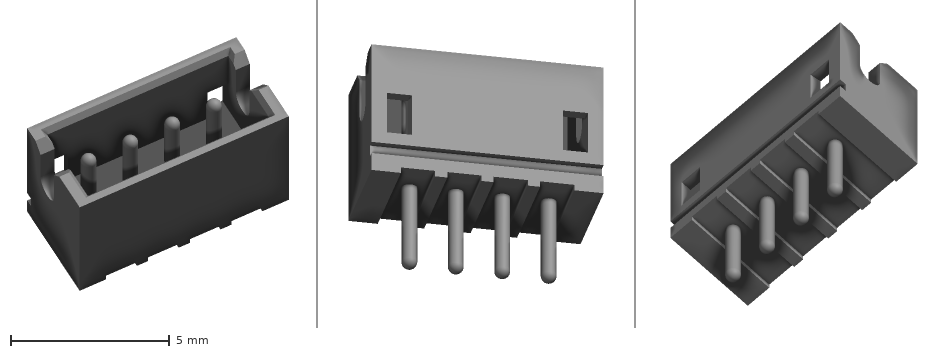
import cadquery as cq

HOUSING_WIDTH = 3.5
HOUSING_LENGTH = 7.5
HOUSING_HEIGHT = 4.5

SIDE_WALL = 0.4
END_WALL = 0.5
UPPER_FLOOR = 1.4
FLOOR_DROP = 0.3
STEP_START = 1.8
STEP_RUN = 0.2
LEAD_IN_WIDTH = 0.15
LEAD_IN_DEPTH = 0.195

NOTCH_CENTER = 1.35
NOTCH_RADIUS = 0.45
NOTCH_BOTTOM = 2.5
NOTCH_BEVEL = 0.345

GROOVE_DEPTH = 0.255
GROOVE_BOTTOM = 0.61
GROOVE_HEIGHT = 0.4

WINDOW_LENGTH = 0.81
WINDOW_HEIGHT = 1.41
WINDOW_TAPER = 0.06

PIN_COUNT = 4
PIN_PITCH = 1.5
PIN_X = 1.3
PIN_DIAMETER = 0.5
PIN_RADIUS = PIN_DIAMETER / 2
PIN_BOTTOM = -2.7
PIN_TOP = 3.6
SLOT_WIDTH = 1.1
SLOT_DEPTH = 0.195

CAVITY_LENGTH = HOUSING_LENGTH - 2 * END_WALL
PIN_POSITIONS = [(i - (PIN_COUNT - 1) / 2) * PIN_PITCH for i in range(PIN_COUNT)]


def box(x, y_center, z, width, length, height):
    """Box from its left face, Y centre and underside."""
    return cq.Workplane("XY").box(width, length, height, (False, True, False)).translate((x, y_center, z))


def cavity():
    right = HOUSING_WIDTH - SIDE_WALL
    lower_floor = UPPER_FLOOR - FLOOR_DROP
    return (
        cq.Workplane("XZ")
        .moveTo(SIDE_WALL, HOUSING_HEIGHT)
        .lineTo(SIDE_WALL, UPPER_FLOOR)
        .lineTo(STEP_START, UPPER_FLOOR)
        .lineTo(STEP_START + STEP_RUN, lower_floor)
        .lineTo(right, lower_floor)
        .lineTo(right, HOUSING_HEIGHT)
        .close()
        .extrude(CAVITY_LENGTH / 2, both=True)
    )


def lead_in():
    inner_width = HOUSING_WIDTH - 2 * SIDE_WALL
    return (
        cq.Workplane("XY", origin=(HOUSING_WIDTH / 2, 0, HOUSING_HEIGHT))
        .rect(inner_width + 2 * LEAD_IN_WIDTH, CAVITY_LENGTH + 2 * LEAD_IN_WIDTH)
        .workplane(offset=-LEAD_IN_DEPTH)
        .rect(inner_width, CAVITY_LENGTH)
        .loft(ruled=True)
    )


def end_notches():
    left = NOTCH_CENTER - NOTCH_RADIUS
    right = NOTCH_CENTER + NOTCH_RADIUS
    arc_start = NOTCH_BOTTOM + NOTCH_RADIUS
    bevel_start = HOUSING_HEIGHT - NOTCH_BEVEL
    return (
        cq.Workplane("XZ")
        .moveTo(left - NOTCH_BEVEL, HOUSING_HEIGHT)
        .lineTo(left, bevel_start)
        .lineTo(left, arc_start)
        .threePointArc((NOTCH_CENTER, NOTCH_BOTTOM), (right, arc_start))
        .lineTo(right, bevel_start)
        .lineTo(right + NOTCH_BEVEL, HOUSING_HEIGHT)
        .close()
        .extrude(HOUSING_LENGTH / 2, both=True)
    )


def window(side):
    """Window at the +Y (side = 1) or -Y (side = -1) end, narrowing inwards."""
    outer_end = side * CAVITY_LENGTH / 2
    middle_end = outer_end - side * WINDOW_LENGTH
    return (
        cq.Workplane("XY", origin=(0, 0, UPPER_FLOOR))
        .moveTo(0, outer_end)
        .lineTo(SIDE_WALL, outer_end)
        .lineTo(SIDE_WALL, middle_end + side * WINDOW_TAPER)
        .lineTo(0, middle_end)
        .close()
        .extrude(WINDOW_HEIGHT)
    )


def pin(y):
    """Round pin with a hemispherical tip at each end."""
    half_profile = (
        cq.Workplane("XZ", origin=(PIN_X, y, 0))
        .moveTo(0, PIN_BOTTOM)
        .radiusArc((PIN_RADIUS, PIN_BOTTOM + PIN_RADIUS), -PIN_RADIUS)
        .lineTo(PIN_RADIUS, PIN_TOP - PIN_RADIUS)
        .radiusArc((0, PIN_TOP), -PIN_RADIUS)
        .close()
    )
    return half_profile.revolve(360, (0, 0, 0), (0, 1, 0))


housing = box(0, 0, 0, HOUSING_WIDTH, HOUSING_LENGTH, HOUSING_HEIGHT)
housing = housing.cut(cavity()).cut(lead_in()).cut(end_notches())
housing = housing.cut(box(0, 0, GROOVE_BOTTOM, GROOVE_DEPTH, HOUSING_LENGTH, GROOVE_HEIGHT))
housing = housing.cut(window(1)).cut(window(-1))

for y in PIN_POSITIONS:
    housing = housing.cut(box(0, y, 0, HOUSING_WIDTH, SLOT_WIDTH, SLOT_DEPTH))

result = housing
for y in PIN_POSITIONS:
    result = result.union(pin(y))